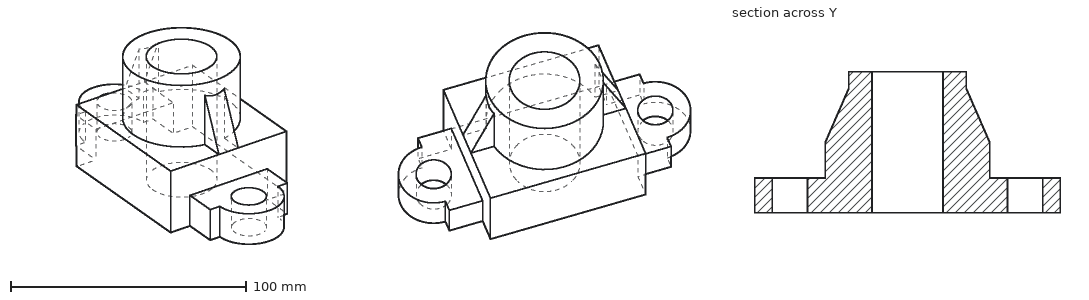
import cadquery as cq

length = 130.0
width = 60.0
height = 60.0

block_length = 70.0
block_height = height / 2
boss_diameter = 50.0
bore_diameter = 30.0

lug_thickness = 15.0
lug_width = 40.0
ear_diameter = 30.0
bolt_hole_diameter = 15.0
bolt_x = (length - ear_diameter) / 2

rib_width = 10.0
rib_rise = 22.9
rib_overlap = 2.6


def cylinder(diameter, cylinder_height, x=0.0):
    """Vertical cylinder standing on the base plane."""
    return cq.Workplane("XY").center(x, 0).circle(diameter / 2).extrude(cylinder_height)


def rib(side):
    """Sloped rib between the block end and the boss on one side."""
    foot_x = side * block_length / 2
    boss_x = side * boss_diameter / 2
    slope = rib_rise / (foot_x - boss_x)
    inner_x = boss_x - side * rib_overlap
    inner_z = block_height + slope * (foot_x - inner_x)
    return (
        cq.Workplane("XZ")
        .moveTo(foot_x, block_height)
        .lineTo(inner_x, inner_z)
        .lineTo(inner_x, block_height)
        .close()
        .extrude(rib_width / 2, both=True)
    )


body = cq.Workplane("XY").box(block_length, width, block_height, centered=(True, True, False))
body = body.union(cylinder(boss_diameter, height))
body = body.union(
    cq.Workplane("XY").box(2 * bolt_x, lug_width, lug_thickness, centered=(True, True, False))
)

for side in (-1, 1):
    body = body.union(cylinder(ear_diameter, lug_thickness, side * bolt_x))
    body = body.cut(cylinder(bolt_hole_diameter, lug_thickness, side * bolt_x))
    body = body.union(rib(side))

result = body.cut(cylinder(bore_diameter, height))